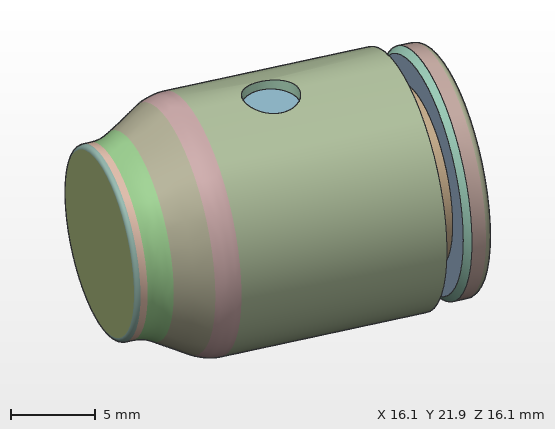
import cadquery as cq
import math

overall_length = 21.9

body_radius = 8.05

tip_radius = 6.0
tip_edge_fillet = 0.3
tip_land_length = 0.75
nose_blend_radius = 3.0
cone_angle = math.radians(30)

flange_radius = 7.75
flange_thickness = 1.7
flange_edge_fillet = 0.4
flange_chamfer = 0.4
neck_radius = 5.6
neck_length = 1.3

recess_diameter = 3.5
recess_depth = 0.8
recess_y = 10.85

flange_y = overall_length - flange_thickness
body_end_y = flange_y - neck_length

blend_length = nose_blend_radius * math.sin(cone_angle)
blend_rise = nose_blend_radius * (1 - math.cos(cone_angle))
half_blend_length = nose_blend_radius * math.sin(cone_angle / 2)
half_blend_rise = nose_blend_radius * (1 - math.cos(cone_angle / 2))
cone_rise = body_radius - tip_radius - 2 * blend_rise
cone_length = cone_rise / math.tan(cone_angle)
cone_start_y = tip_land_length + blend_length
cone_end_y = cone_start_y + cone_length
shoulder_y = cone_end_y + blend_length


def make_nose_and_body():
    """Revolve the tip land, concave blend, cone, convex blend and cylinder."""
    profile = (
        cq.Workplane("XY")
        .lineTo(tip_radius, 0)
        .lineTo(tip_radius, tip_land_length)
        .threePointArc(
            (tip_radius + half_blend_rise, tip_land_length + half_blend_length),
            (tip_radius + blend_rise, cone_start_y),
        )
        .lineTo(body_radius - blend_rise, cone_end_y)
        .threePointArc(
            (body_radius - half_blend_rise, shoulder_y - half_blend_length),
            (body_radius, shoulder_y),
        )
        .lineTo(body_radius, body_end_y)
        .lineTo(0, body_end_y)
        .close()
    )
    body = profile.revolve(360, (0, 0, 0), (0, 1, 0))
    return body.faces("<Y").edges().fillet(tip_edge_fillet)


def make_disc(radius, start_y, length):
    """Cylinder about the Y axis, growing towards +Y from start_y."""
    return cq.Workplane("XZ", origin=(0, start_y, 0)).circle(radius).extrude(-length)


def make_flange():
    """End disc with a rounded outer rim and a chamfered rim facing the neck."""
    flange = make_disc(flange_radius, flange_y, flange_thickness)
    flange = flange.faces(">Y").edges().fillet(flange_edge_fillet)
    return flange.faces("<Y").edges().chamfer(flange_chamfer)


def make_recess():
    """Cutter for the round recess, reaching down from the top of the body."""
    floor_z = body_radius - recess_depth
    return (
        cq.Workplane("XY", origin=(0, recess_y, floor_z))
        .circle(recess_diameter / 2)
        .extrude(recess_depth)
    )


neck = make_disc(neck_radius, body_end_y, neck_length)
result = make_nose_and_body().union(neck).union(make_flange()).cut(make_recess())